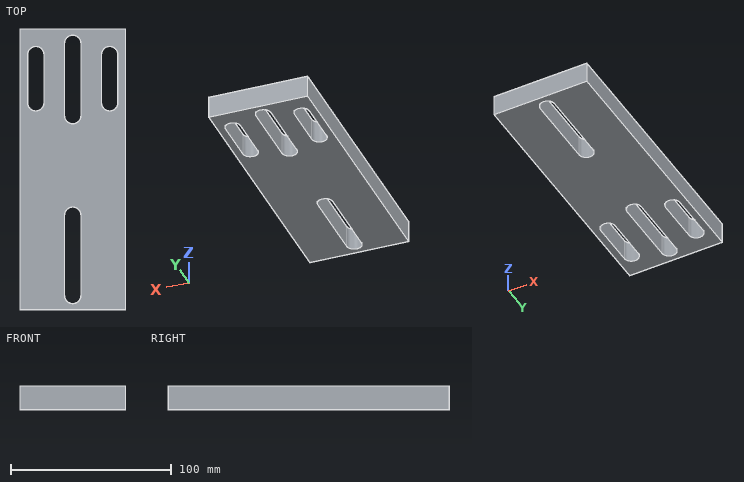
import cadquery as cq

width = 66.0
length = 175.0
thickness = 15.0

slot_width = 10.0
end_margin = 4.0
rear_slot_length = 55.0
front_slot_length = 60.0
side_slot_length = 40.0
side_end_margin = 11.0
side_slot_offset = 23.0

rear_slot_y = length / 2 - end_margin - rear_slot_length / 2
side_slot_y = length / 2 - side_end_margin - side_slot_length / 2
front_slot_y = -length / 2 + end_margin + front_slot_length / 2


def slot_cutter(x, y, slot_length):
    """Round-ended slot through the full thickness, centred at (x, y)."""
    return (
        cq.Workplane("XY")
        .center(x, y)
        .slot2D(slot_length, slot_width, angle=90)
        .extrude(thickness)
    )


slots = [
    (0, rear_slot_y, rear_slot_length),
    (0, front_slot_y, front_slot_length),
    (-side_slot_offset, side_slot_y, side_slot_length),
    (side_slot_offset, side_slot_y, side_slot_length),
]

result = cq.Workplane("XY").box(width, length, thickness, centered=(True, True, False))
for x, y, slot_length in slots:
    result = result.cut(slot_cutter(x, y, slot_length))